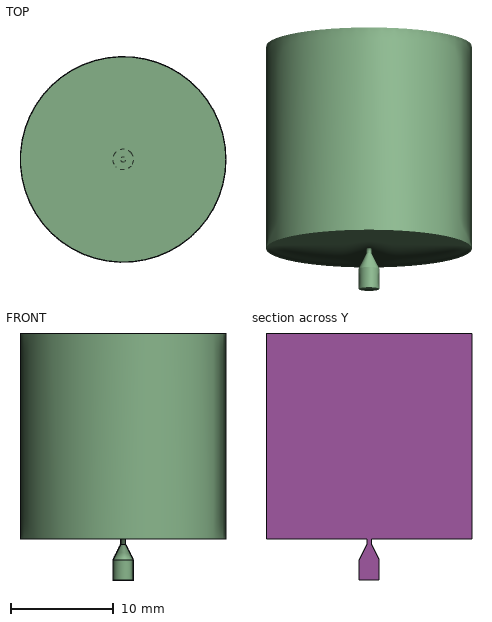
import cadquery as cq

body_diameter = 20.0
body_height = 20.0

neck_diameter = 0.5
neck_length = 0.5
tip_diameter = 2.0
cone_length = 1.5
tip_length = 2.0


def make_body():
    return cq.Workplane("XY").circle(body_diameter / 2).extrude(body_height)


def make_stem():
    """Revolve the half profile of the stem about the Z axis."""
    neck_radius = neck_diameter / 2
    tip_radius = tip_diameter / 2
    cone_top = -neck_length
    cone_base = cone_top - cone_length
    tip_end = cone_base - tip_length
    return (
        cq.Workplane("XZ")
        .moveTo(0, 0)
        .lineTo(neck_radius, 0)
        .lineTo(neck_radius, cone_top)
        .lineTo(tip_radius, cone_base)
        .lineTo(tip_radius, tip_end)
        .lineTo(0, tip_end)
        .close()
        .revolve(360, (0, 0, 0), (0, 1, 0))
    )


result = make_body().union(make_stem())